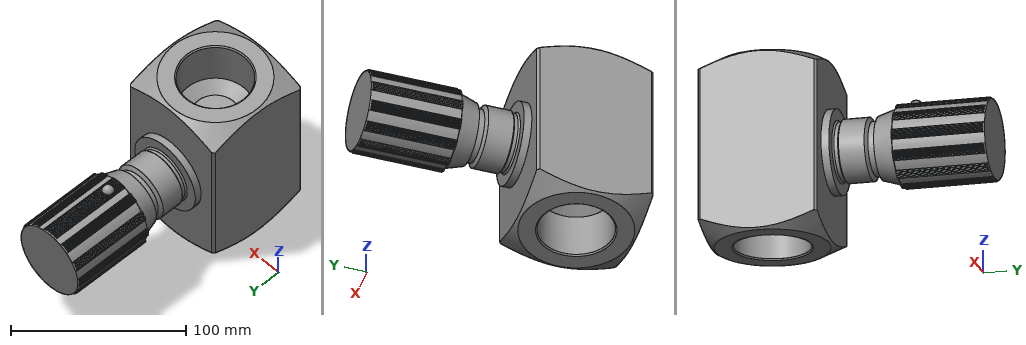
import cadquery as cq
import math

BODY_WIDTH = 70.0
BODY_HEIGHT = 108.0
BODY_EDGE_CHAMFER = 1.5
BODY_CENTRE_Y = BODY_WIDTH / 2
END_FACE_RADIUS = 33.4
END_BEVEL_ANGLE = 30

PORT_RADIUS = 44.8 / 2
PORT_DEPTH = 28.5
PORT_CHAMFER = 0.8
PORT_FLOOR_RADIUS = 28.0 / 2
PORT_FLOOR_ANGLE = 31

FLANGE_RADIUS = 24.9
FLANGE_END_Y = 74.7
GROOVE_RADIUS = 34.5 / 2
GROOVE_START_Y = 75.7
GROOVE_END_Y = 77.9
COLLAR_RADIUS = 37.0 / 2
COLLAR_START_Y = 78.7
COLLAR_END_Y = 93.8
NECK_RADIUS = 31.7 / 2
NECK_START_Y = 95.3

SKIRT_SMALL_RADIUS = 37.4 / 2
SKIRT_LARGE_RADIUS = 44.8 / 2
SKIRT_START_Y = 99.5
GRIP_START_Y = 111.2
GRIP_END_Y = 166.0
LAND_RADIUS = 23.4
TOOTH_ROOT_RADIUS = 23.9
TOOTH_TIP_RADIUS = 24.4
TOOTH_BEVEL_LENGTH = 1.5
TOOTH_PITCH = 2.4
BAND_COUNT = 12
BAND_TEETH = 6
INDEX_BAND_TEETH = 10
INDEX_BAND_ANGLE = 90

BALL_RADIUS = 7.5 / 2
BALL_TOP_Z = 27.2
BALL_Y = 119.7


def make_body():
    block = (
        cq.Workplane("XY")
        .box(BODY_WIDTH, BODY_WIDTH, BODY_HEIGHT)
        .edges("|Z")
        .chamfer(BODY_EDGE_CHAMFER)
    )
    outer_radius = BODY_WIDTH
    drop = (outer_radius - END_FACE_RADIUS) * math.tan(math.radians(END_BEVEL_ANGLE))
    half_height = BODY_HEIGHT / 2
    envelope = (
        cq.Workplane("XZ")
        .moveTo(0, -half_height)
        .lineTo(END_FACE_RADIUS, -half_height)
        .lineTo(outer_radius, drop - half_height)
        .lineTo(outer_radius, half_height - drop)
        .lineTo(END_FACE_RADIUS, half_height)
        .lineTo(0, half_height)
        .close()
        .revolve(360, (0, 0), (0, 1))
    )
    port = make_port_cutter()
    body = block.intersect(envelope).cut(port).cut(port.mirror("XY"))
    return body.translate((0, BODY_CENTRE_Y, 0))


def make_port_cutter():
    top = BODY_HEIGHT / 2
    shoulder_z = top - PORT_DEPTH
    floor_drop = (PORT_RADIUS - PORT_FLOOR_RADIUS) * math.tan(math.radians(PORT_FLOOR_ANGLE))
    return (
        cq.Workplane("XZ")
        .moveTo(0, top)
        .lineTo(PORT_RADIUS + PORT_CHAMFER, top)
        .lineTo(PORT_RADIUS, top - PORT_CHAMFER)
        .lineTo(PORT_RADIUS, shoulder_z)
        .lineTo(PORT_FLOOR_RADIUS, shoulder_z - floor_drop)
        .lineTo(0, shoulder_z - floor_drop)
        .close()
        .revolve(360, (0, 0), (0, 1))
    )


def turned(section):
    """Revolve a half section of (radius, y) points about the Y axis."""
    return cq.Workplane("XY").polyline(section).close().revolve(360, (0, 0), (0, 1))


def make_spindle():
    groove_flare = GROOVE_START_Y - FLANGE_END_Y
    return turned([
        (0, BODY_WIDTH),
        (FLANGE_RADIUS, BODY_WIDTH),
        (FLANGE_RADIUS, FLANGE_END_Y),
        (GROOVE_RADIUS + groove_flare, FLANGE_END_Y),
        (GROOVE_RADIUS, GROOVE_START_Y),
        (GROOVE_RADIUS, GROOVE_END_Y),
        (COLLAR_RADIUS, COLLAR_START_Y),
        (COLLAR_RADIUS, COLLAR_END_Y),
        (NECK_RADIUS, NECK_START_Y),
        (NECK_RADIUS, SKIRT_START_Y),
        (SKIRT_SMALL_RADIUS, SKIRT_START_Y),
        (SKIRT_LARGE_RADIUS, GRIP_START_Y),
        (0, GRIP_START_Y),
    ])


def polar(radius, angle):
    """Point in the XZ plane, angle in degrees from +X towards +Z."""
    return (radius * math.cos(math.radians(angle)), radius * math.sin(math.radians(angle)))


def band_half_angle(band):
    teeth = INDEX_BAND_TEETH if band % BAND_COUNT == 0 else BAND_TEETH
    return teeth * TOOTH_PITCH / 2


def make_grip():
    band_step = 360 / BAND_COUNT
    first_land_end = INDEX_BAND_ANGLE - band_half_angle(0)
    outline = cq.Workplane("XZ").moveTo(*polar(LAND_RADIUS, first_land_end))
    for band in range(BAND_COUNT):
        angle = INDEX_BAND_ANGLE + band * band_step
        band_start = angle - band_half_angle(band)
        band_end = angle + band_half_angle(band)
        land_end = angle + band_step - band_half_angle(band + 1)
        teeth = round((band_end - band_start) / TOOTH_PITCH)
        outline = outline.lineTo(*polar(TOOTH_ROOT_RADIUS, band_start))
        for tooth in range(teeth):
            tooth_start = band_start + tooth * TOOTH_PITCH
            outline = outline.lineTo(*polar(TOOTH_TIP_RADIUS, tooth_start + TOOTH_PITCH / 2))
            outline = outline.lineTo(*polar(TOOTH_ROOT_RADIUS, tooth_start + TOOTH_PITCH))
        outline = outline.lineTo(*polar(LAND_RADIUS, band_end))
        outline = outline.threePointArc(
            polar(LAND_RADIUS, (band_end + land_end) / 2),
            polar(LAND_RADIUS, land_end),
        )
    grip = outline.close().extrude(-(GRIP_END_Y - GRIP_START_Y)).translate((0, GRIP_START_Y, 0))

    envelope = turned([
        (0, GRIP_START_Y),
        (TOOTH_TIP_RADIUS, GRIP_START_Y),
        (TOOTH_TIP_RADIUS, GRIP_END_Y - TOOTH_BEVEL_LENGTH),
        (LAND_RADIUS, GRIP_END_Y),
        (0, GRIP_END_Y),
    ])
    return grip.intersect(envelope)


def make_ball():
    return cq.Workplane("XY").sphere(BALL_RADIUS).translate((0, BALL_Y, BALL_TOP_Z - BALL_RADIUS))


result = make_body().union(make_spindle()).union(make_grip()).union(make_ball())